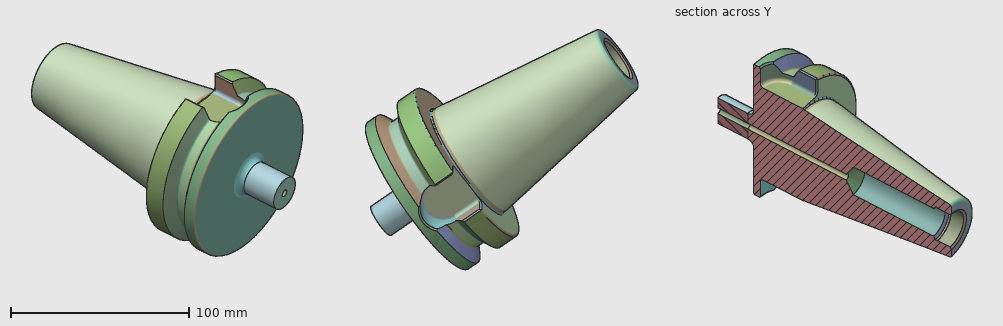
import cadquery as cq
import math

total_length = 164.8
taper_length = 101.8
neck_length = 3.0
flange_width = 35.0
flange_back = taper_length + neck_length
flange_front = flange_back + flange_width

gauge_diameter = 69.9
taper_ratio = 7 / 24
small_end_fillet = 2.0
neck_fillet = 1.0

flange_diameter = 100.0
rim_fillet = 1.0
groove_diameter = 85.0
groove_offset = 20.0
groove_floor_width = 6.5
groove_wall_angle = 30
groove_fillet = 1.0

slot_width = 25.7
slot_floor_height = 35.5
slot_straight_length = 17.0
slot_floor_fillet = 2.0
slot_edge_chamfer = 1.0
slot_round_centre = flange_back + slot_straight_length

mouth_diameter = 27.5
pilot_diameter = 24.4
relief_diameter = 25.0
relief_start = 9.9
relief_width = 1.5
thread_diameter = 21.0
thread_depth = 69.2
drill_point_angle = 118
coolant_diameter = 4.1

pin_diameter = 20.0
flare_radius = 4.0
pin_start = flange_front + flare_radius

slack = 1.6


def revolve_about_x(outline):
    """Turn a closed outline, with Y as the radius, about the X axis."""
    return outline.close().revolve(360, (0, 0, 0), (1, 0, 0))


def edges_on_circle(body, x, radius):
    """The circular edges of the given radius that lie at the given X."""
    near = 0.02
    return body.edges(
        cq.selectors.BoxSelector((x - near, -radius - near, -radius - near),
                                 (x + near, radius + near, radius + near), boundingbox=True)
    ).edges(cq.selectors.RadiusNthSelector(-1))


def make_turned_body():
    gauge_radius = gauge_diameter / 2
    small_radius = gauge_radius - taper_length * taper_ratio / 2
    flange_radius = flange_diameter / 2
    groove_radius = groove_diameter / 2
    groove_middle = flange_back + groove_offset
    floor_half = groove_floor_width / 2
    mouth_half = floor_half + (flange_radius - groove_radius) * math.tan(math.radians(groove_wall_angle))
    pin_radius = pin_diameter / 2
    diagonal = flare_radius * math.sqrt(0.5)
    outline = (
        cq.Workplane("XY")
        .moveTo(0, 0)
        .lineTo(0, small_radius)
        .lineTo(taper_length, gauge_radius)
        .lineTo(flange_back - neck_fillet, gauge_radius)
        .radiusArc((flange_back, gauge_radius + neck_fillet), -neck_fillet)
        .lineTo(flange_back, flange_radius - rim_fillet)
        .radiusArc((flange_back + rim_fillet, flange_radius), rim_fillet)
        .lineTo(groove_middle - mouth_half, flange_radius)
        .lineTo(groove_middle - floor_half, groove_radius)
        .lineTo(groove_middle + floor_half, groove_radius)
        .lineTo(groove_middle + mouth_half, flange_radius)
        .lineTo(flange_front - rim_fillet, flange_radius)
        .radiusArc((flange_front, flange_radius - rim_fillet), rim_fillet)
        .lineTo(flange_front, pin_radius + flare_radius)
        .threePointArc((pin_start - diagonal, pin_radius + flare_radius - diagonal), (pin_start, pin_radius))
        .lineTo(pin_start, 0)
    )
    body = revolve_about_x(outline)
    body = edges_on_circle(body, 0, small_radius).fillet(small_end_fillet)
    for side in (-1, 1):
        body = edges_on_circle(body, groove_middle + side * floor_half, groove_radius).fillet(groove_fillet)
    return body


def make_slot_cutter():
    """Round-ended slot at +Z with a filleted floor, open at the back of the flange."""
    half_width = slot_width / 2
    slot = (
        cq.Workplane("XY", origin=(0, 0, slot_floor_height))
        .moveTo(taper_length, -half_width)
        .lineTo(slot_round_centre, -half_width)
        .threePointArc((slot_round_centre + half_width, 0), (slot_round_centre, half_width))
        .lineTo(taper_length, half_width)
        .close()
        .extrude(flange_diameter / 2 + slack - slot_floor_height)
    )
    return slot.faces("<Z").edges("not <X").fillet(slot_floor_fillet)


def slot_section(x, widening):
    """Cross-section of the slot at X, its walls and floor fillets moved out by the widening."""
    half_width = slot_width / 2 + widening
    corner_radius = slot_floor_fillet + widening
    top = flange_diameter / 2 + slack
    fillet_top = slot_floor_height + corner_radius
    return (
        cq.Workplane("YZ", origin=(x, 0, 0))
        .moveTo(-half_width, top)
        .lineTo(-half_width, fillet_top)
        .radiusArc((-half_width + corner_radius, slot_floor_height), -corner_radius)
        .lineTo(half_width - corner_radius, slot_floor_height)
        .radiusArc((half_width, fillet_top), -corner_radius)
        .lineTo(half_width, top)
        .close()
        .wire().val()
    )


def make_slot_flare():
    """Widening of the slot walls that chamfers their edges on the flange back face."""
    wide = slot_section(flange_back, slot_edge_chamfer)
    narrow = slot_section(flange_back + slot_edge_chamfer, 0)
    return cq.Workplane(cq.Solid.makeLoft([wide, narrow], True))


def is_slot_rim_edge(edge):
    """True for the straight and the round edges where a slot leaves the outside of the flange."""
    near = 0.02
    box = edge.BoundingBox()
    outermost = max(abs(box.zmin), abs(box.zmax))
    wall_edge_height = math.sqrt((flange_diameter / 2) ** 2 - (slot_width / 2) ** 2)
    on_wall = abs(abs(edge.Center().y) - slot_width / 2) < near and box.ylen < near
    straight = edge.geomType() == "LINE" and on_wall and box.xlen > slot_width / 4 \
        and abs(outermost - wall_edge_height) < near
    slot_end = slot_round_centre + slot_width / 2
    round_end = abs(box.xmax - slot_end) < near and abs(outermost - flange_diameter / 2) < near
    return straight or round_end


def make_bore_cutter():
    mouth_radius = mouth_diameter / 2
    pilot_radius = pilot_diameter / 2
    relief_radius = relief_diameter / 2
    thread_radius = thread_diameter / 2
    relief_end = relief_start + relief_width
    cone_slope = 1 / math.tan(math.radians(drill_point_angle / 2))
    outline = (
        cq.Workplane("XY")
        .moveTo(0, 0)
        .lineTo(0, mouth_radius)
        .lineTo((mouth_radius - pilot_radius) * cone_slope, pilot_radius)
        .lineTo(relief_start, pilot_radius)
        .lineTo(relief_start, relief_radius)
        .lineTo(relief_end, relief_radius)
        .lineTo(relief_end + (relief_radius - thread_radius) * cone_slope, thread_radius)
        .lineTo(thread_depth, thread_radius)
        .lineTo(thread_depth + thread_radius * cone_slope, 0)
    )
    return revolve_about_x(outline)


def make_coolant_cutter():
    return cq.Workplane("YZ").circle(coolant_diameter / 2).extrude(total_length)


def make_holder():
    body = make_turned_body().cut(make_bore_cutter()).cut(make_coolant_cutter())
    slot = make_slot_cutter()
    flare = make_slot_flare()
    for angle in (0, 180):
        body = body.cut(slot.rotate((0, 0, 0), (1, 0, 0), angle))
        body = body.cut(flare.rotate((0, 0, 0), (1, 0, 0), angle))
    return body.newObject(list(filter(is_slot_rim_edge, body.edges().vals()))).chamfer(slot_edge_chamfer)


def make_pin():
    return (
        cq.Workplane("YZ", origin=(pin_start, 0, 0))
        .circle(pin_diameter / 2)
        .circle(coolant_diameter / 2)
        .extrude(total_length - pin_start)
    )


holder = make_holder()
pin = make_pin()
result = cq.Compound.makeCompound([holder.val(), pin.val()])